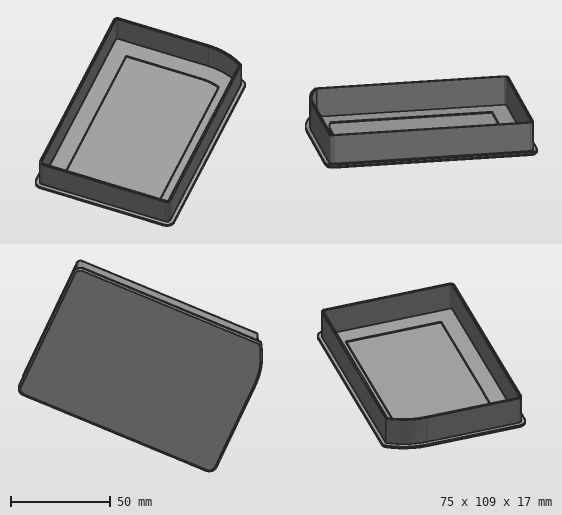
import cadquery as cq
import math

length = 109.0
width = 75.0
height = 17.0

base_thickness = 2.0
rim_chamfer = 1.0
rim_overhang = 2.1
wall_thickness = 1.0
corner_radius = 4.0
peak_corner_radius = 2.1

recess_inset = 12.0
recess_depth = 0.7

sweep_radius = 38.2
sweep_run = 22.0
sweep_x = width / 2 - sweep_run
sweep_y = length / 2 - sweep_radius


def sweep_point(radius, x):
    """Point on the large arc of the given radius at position x."""
    return x, sweep_y + math.sqrt(radius**2 - (x - sweep_x) ** 2)


def tray_prism(inset, bottom, top):
    """Prism of the rim outline moved inwards by inset, between two heights."""
    half_width = width / 2 - inset
    half_length = length / 2 - inset
    radius = sweep_radius - inset
    peak = sweep_point(radius, half_width)
    prism = (
        cq.Workplane("XY", origin=(0, 0, bottom))
        .moveTo(-half_width, -half_length)
        .lineTo(half_width, -half_length)
        .lineTo(*peak)
        .threePointArc(sweep_point(radius, (sweep_x + half_width) / 2), (sweep_x, half_length))
        .lineTo(-half_width, half_length)
        .close()
        .extrude(top - bottom)
    )
    corners = [
        (-half_width, -half_length, corner_radius),
        (half_width, -half_length, corner_radius),
        (-half_width, half_length, corner_radius),
        (*peak, peak_corner_radius),
    ]
    for x, y, rim_radius in corners:
        if inset < rim_radius:
            corner_edge = cq.selectors.NearestToPointSelector((x, y, (bottom + top) / 2))
            prism = prism.edges(corner_edge).fillet(rim_radius - inset)
    return prism


rim = tray_prism(0, 0, base_thickness).faces("<Z").chamfer(rim_chamfer)
walls = tray_prism(rim_overhang, base_thickness, height)
cavity = tray_prism(rim_overhang + wall_thickness, base_thickness, height)
recess = tray_prism(recess_inset, base_thickness - recess_depth, base_thickness)

result = rim.union(walls.cut(cavity)).cut(recess)